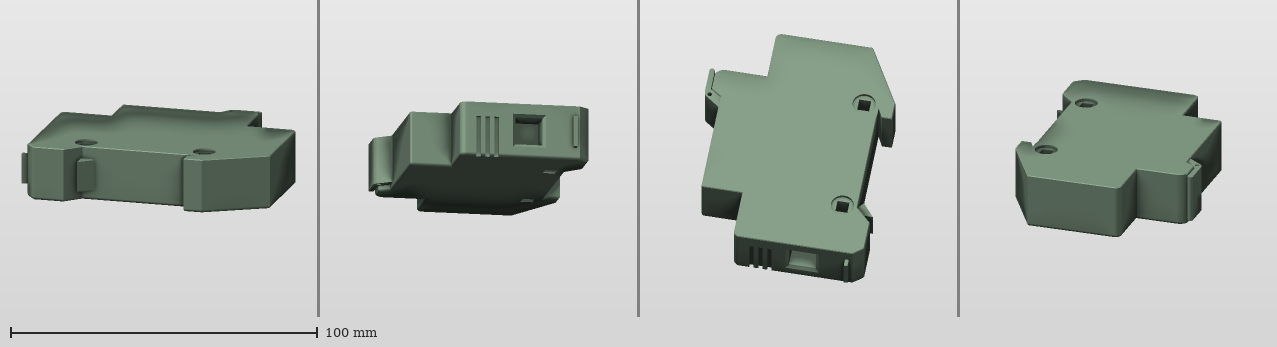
import cadquery as cq
import math


width = 80.0
thickness = 18.0
mid_z = thickness / 2
shoulder_y = 43.0
shoulder_radius = 2.0
top_edge_chamfer = 0.25
bottom_edge_fillet = 1.0

rail_floor_y = 5.0
left_foot_bevel_x = 2.6
left_foot_bevel_y = 3.4
left_foot_fillet = 1.0
left_foot_end_x = 13.0
floor_start_x = left_foot_end_x + rail_floor_y
undercut_end_x = 57.2
hook_x = 53.8
hook_tip_y = 3.4
right_foot_end_x = 60.0
right_wall_start_y = 11.05

block_left_x = 17.0
block_right_x = 63.0
block_top_y = 56.6
block_corner_radius = 0.8
nose_start_x = 52.6
nose_flat_x = 54.95
nose_top_y = 60.0
nose_radius = 8.0 / 2

screw_xs = (18.0, 58.0)
screw_y = 10.0
recess_diameter = 7.5
recess_depth = 1.0
square_hole = 4.0

entry_y = 20.1
entry_mouth = 11.0
entry_bevel = 1.0
entry_depth = 9.0

slot_count = 3
slot_pitch = 3.0
first_slot_y = 31.0
slot_width = 1.5
slot_depth = 1.5
slot_top_z = 13.2

latch_width = 10.1
tab_length = 2.5
tab_bottom_y = 4.6
tab_thickness = 1.2
catch_left_x = 17.7
catch_low_y = -0.2
catch_tip_x = 22.5
catch_tip_y = 3.6
catch_root_x = 20.9

handle_bottom_z = 2.0
handle_top_z = 17.5
handle_top_y = 62.0
handle_under_y = 60.2
handle_foot_x = 48.7
handle_bend_x = 52.6
handle_bend_radius = 2.5
handle_tip_x = 63.0
seal_hole_diameter = 1.5
seal_hole_x = 53.05
seal_hole_y = 60.3


def make_shell():
    """Extruded housing outline with rounded corners and broken edges."""
    arc_x = block_right_x - nose_radius
    nose_end_x = arc_x + math.sqrt(nose_radius**2 - (nose_top_y - block_top_y) ** 2)
    arc_angle = math.asin((nose_top_y - block_top_y) / nose_radius) / 2
    arc_middle = (
        arc_x + nose_radius * math.cos(arc_angle),
        block_top_y + nose_radius * math.sin(arc_angle),
    )
    shell = (
        cq.Workplane("XY")
        .moveTo(0, left_foot_bevel_y)
        .lineTo(left_foot_bevel_x, 0)
        .lineTo(left_foot_end_x, 0)
        .lineTo(floor_start_x, rail_floor_y)
        .lineTo(hook_x, rail_floor_y)
        .lineTo(hook_x, 0)
        .lineTo(right_foot_end_x, 0)
        .lineTo(width, right_wall_start_y)
        .lineTo(width, shoulder_y)
        .lineTo(block_right_x, shoulder_y)
        .lineTo(block_right_x, block_top_y)
        .threePointArc(arc_middle, (nose_end_x, nose_top_y))
        .lineTo(nose_flat_x, nose_top_y)
        .lineTo(nose_start_x, block_top_y)
        .lineTo(block_left_x, block_top_y)
        .lineTo(block_left_x, shoulder_y)
        .lineTo(0, shoulder_y)
        .close()
        .extrude(thickness)
    )
    shell = fillet_corner(shell, 0, shoulder_y, shoulder_radius)
    shell = fillet_corner(shell, width, shoulder_y, shoulder_radius)
    shell = fillet_corner(shell, block_left_x, block_top_y, block_corner_radius)
    shell = fillet_corner(shell, left_foot_bevel_x, 0, left_foot_fillet)
    shell = shell.faces(">Z").chamfer(top_edge_chamfer).cut(make_rail_undercut())
    return shell.faces("<Z").edges().fillet(bottom_edge_fillet)


def fillet_corner(body, x, y, radius):
    """Round the edge parallel to Z that stands at (x, y)."""
    edge = cq.selectors.NearestToPointSelector((x, y, mid_z))
    return body.edges("|Z").edges(edge).fillet(radius)


def make_rail_undercut():
    """Wedge behind the right foot that turns it into a hook for the rail."""
    return (
        cq.Workplane("XY")
        .moveTo(hook_x, hook_tip_y)
        .lineTo(undercut_end_x, rail_floor_y)
        .lineTo(hook_x, rail_floor_y)
        .close()
        .extrude(thickness)
    )


def make_screw_openings():
    """Round recesses in the top face, each with a square hole through the housing."""
    centres = [(x, screw_y) for x in screw_xs]
    recesses = (
        cq.Workplane("XY", origin=(0, 0, thickness - recess_depth))
        .pushPoints(centres)
        .circle(recess_diameter / 2)
        .extrude(recess_depth)
    )
    holes = cq.Workplane("XY").pushPoints(centres).rect(square_hole, square_hole).extrude(thickness)
    return recesses.union(holes)


def make_cable_entry():
    """Square pocket in the left wall with a bevelled mouth."""
    throat = entry_mouth - 2 * entry_bevel
    mouth = (
        cq.Workplane("YZ", origin=(0, entry_y, mid_z))
        .rect(entry_mouth, entry_mouth)
        .workplane(offset=entry_bevel)
        .rect(throat, throat)
        .loft(ruled=True)
    )
    pocket = cq.Workplane("YZ", origin=(0, entry_y, mid_z)).rect(throat, throat).extrude(entry_depth)
    return mouth.union(pocket)


def make_slots():
    """Upright slots in the left wall, open at the back face."""
    centres = [(first_slot_y + i * slot_pitch, slot_top_z / 2) for i in range(slot_count)]
    return cq.Workplane("YZ").pushPoints(centres).rect(slot_width, slot_top_z).extrude(slot_depth)


def make_tab():
    """Pull tab standing out from the left wall."""
    tab = cq.Workplane("XY").box(tab_length, tab_thickness, latch_width, centered=(False, False, True))
    return tab.translate((-tab_length, tab_bottom_y, mid_z))


def make_catch():
    """Barbed catch hanging below the rail floor."""
    return (
        cq.Workplane("XY", origin=(0, 0, mid_z))
        .moveTo(catch_left_x, rail_floor_y)
        .lineTo(catch_left_x, catch_low_y)
        .lineTo(catch_tip_x, catch_tip_y)
        .lineTo(catch_root_x, rail_floor_y)
        .close()
        .extrude(latch_width / 2, both=True)
    )


def make_housing():
    housing = make_shell()
    for opening in (make_screw_openings(), make_cable_entry(), make_slots()):
        housing = housing.cut(opening)
    return housing.union(make_tab()).union(make_catch())


def make_handle():
    """Bent lever standing on the block and reaching over the nose, with a round tip."""
    tip_radius = (handle_top_y - handle_under_y) / 2
    tip_centre_x = handle_tip_x - tip_radius
    handle = (
        cq.Workplane("XY", origin=(0, 0, handle_bottom_z))
        .moveTo(handle_foot_x, block_top_y)
        .lineTo(nose_start_x, block_top_y)
        .lineTo(nose_flat_x, nose_top_y)
        .lineTo(nose_flat_x, handle_under_y)
        .lineTo(tip_centre_x, handle_under_y)
        .threePointArc((handle_tip_x, handle_under_y + tip_radius), (tip_centre_x, handle_top_y))
        .lineTo(handle_bend_x, handle_top_y)
        .close()
        .extrude(handle_top_z - handle_bottom_z)
    )
    handle = fillet_corner(handle, handle_bend_x, handle_top_y, handle_bend_radius)
    seal_hole = (
        cq.Workplane("XY")
        .center(seal_hole_x, seal_hole_y)
        .circle(seal_hole_diameter / 2)
        .extrude(thickness)
    )
    return handle.cut(seal_hole)


housing = make_housing()
handle = make_handle()

result = cq.Compound.makeCompound([housing.val(), handle.val()])